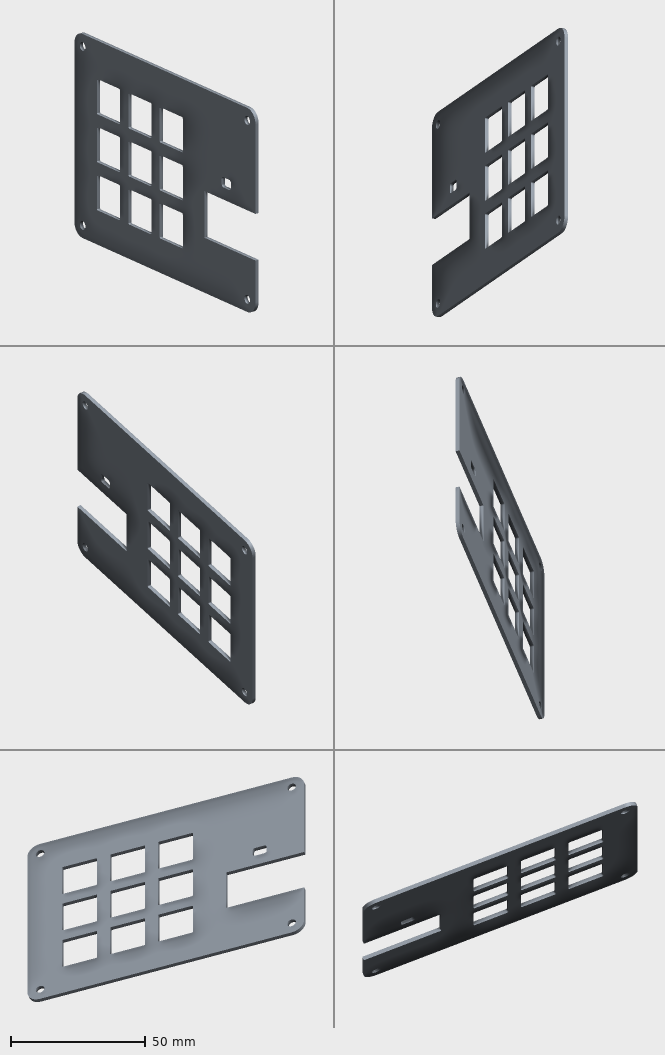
import cadquery as cq

PLATE_WIDTH = 110.0
PLATE_HEIGHT = 81.0
PLATE_THICKNESS = 1.5
CORNER_RADIUS = 5.0

SCREW_HOLE_DIAMETER = 3.4
SCREW_SPACING_X = PLATE_WIDTH - 2 * CORNER_RADIUS
SCREW_SPACING_Z = PLATE_HEIGHT - 2 * CORNER_RADIUS

KEY_COLUMNS = 3
KEY_ROWS = 3
KEY_PITCH = 19.05
KEY_OPENING = 14.0
KEY_CORNER_RADIUS = 0.5
KEY_GRID_CENTER = (-15.2, -0.8)

NOTCH_DEPTH = 31.0
NOTCH_HEIGHT = 18.5
NOTCH_CENTER_Z = -9.4

WINDOW_WIDTH = 5.6
WINDOW_HEIGHT = 4.0
WINDOW_CORNER_RADIUS = 1.0
WINDOW_CENTER = (37.3, 6.7)


def block(width, height, center=(0, 0)):
    """Box through the plate thickness, centred at (x, z)."""
    center_x, center_z = center
    return cq.Workplane("XY").box(width, PLATE_THICKNESS, height).translate((center_x, 0, center_z))


def rounded_block(width, height, radius, center=(0, 0)):
    """Box through the plate thickness with its four Y edges rounded."""
    return block(width, height, center).edges("|Y").fillet(radius)


def screw_holes():
    return (
        cq.Workplane("XZ")
        .rarray(SCREW_SPACING_X, SCREW_SPACING_Z, 2, 2)
        .circle(SCREW_HOLE_DIAMETER / 2)
        .extrude(PLATE_THICKNESS / 2, both=True)
    )


def key_opening(column, row):
    grid_x, grid_z = KEY_GRID_CENTER
    center_x = grid_x + (column - (KEY_COLUMNS - 1) / 2) * KEY_PITCH
    center_z = grid_z + (row - (KEY_ROWS - 1) / 2) * KEY_PITCH
    return rounded_block(KEY_OPENING, KEY_OPENING, KEY_CORNER_RADIUS, (center_x, center_z))


def edge_notch():
    center_x = (PLATE_WIDTH - NOTCH_DEPTH) / 2
    return block(NOTCH_DEPTH, NOTCH_HEIGHT, (center_x, NOTCH_CENTER_Z))


def window():
    return rounded_block(WINDOW_WIDTH, WINDOW_HEIGHT, WINDOW_CORNER_RADIUS, WINDOW_CENTER)


plate = rounded_block(PLATE_WIDTH, PLATE_HEIGHT, CORNER_RADIUS)
plate = plate.cut(screw_holes())
for column in range(KEY_COLUMNS):
    for row in range(KEY_ROWS):
        plate = plate.cut(key_opening(column, row))
plate = plate.cut(edge_notch())
plate = plate.cut(window())

result = plate